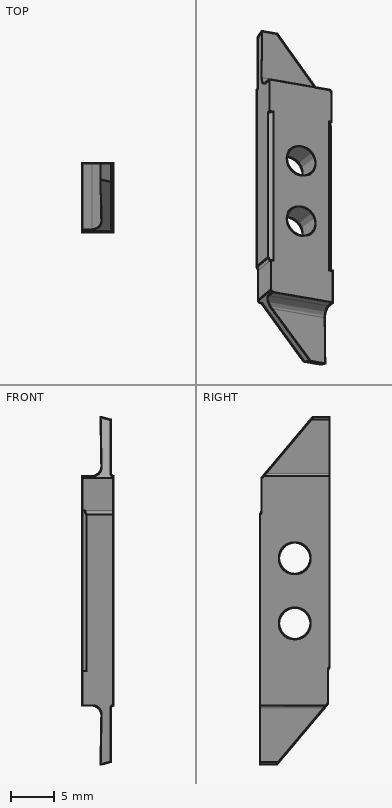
import cadquery as cq
import math

thickness = 3.6
width = 8.0
length = 40.0

shoulder_z = 13.2
blade_tip_x = 2.11
blade_draft = 1.0
blade_back_x = 3.3
tip_relief_angle = 15.0
root_fillet = 1.05

tip_width = 1.9
flank_end_z = 12.95

side_step = 0.17
side_step_radius = 0.7
edge_chamfer = 0.5
seat_half_length = 9.25

hole_diameter = 3.6
hole_spacing = 7.5

half_length = length / 2
half_width = width / 2
left_x = -thickness / 2
right_x = thickness / 2


def half_turn(shape):
    """Turn a shape by 180 degrees about the X axis."""
    return shape.rotate((0, 0, 0), (1, 0, 0), 180)


def thickness_profile():
    """Upper half of the XZ section, extruded over the full width."""
    tip_x = left_x + blade_tip_x
    back_x = left_x + blade_back_x
    draft = math.radians(blade_draft)
    root_x = tip_x + (half_length - shoulder_z) * math.tan(draft)
    tip_drop = (back_x - tip_x) * math.tan(math.radians(tip_relief_angle))

    face_angle = math.pi / 2 - draft
    tangent_length = root_fillet / math.tan(face_angle / 2)
    fillet_start_x = root_x - tangent_length
    fillet_center = (fillet_start_x, shoulder_z + root_fillet)
    fillet_end = (
        root_x - tangent_length * math.sin(draft),
        shoulder_z + tangent_length * math.cos(draft),
    )
    mid_angle = (math.pi - face_angle) / 2
    fillet_mid = (
        fillet_center[0] + root_fillet * math.sin(mid_angle),
        fillet_center[1] - root_fillet * math.cos(mid_angle),
    )

    back_radius = right_x - back_x
    back_mid_offset = back_radius * math.sin(math.pi / 4)
    back_fillet_mid = (
        right_x - back_mid_offset,
        shoulder_z + back_radius - back_mid_offset,
    )
    return (
        cq.Workplane("XZ")
        .moveTo(left_x, 0)
        .lineTo(left_x, shoulder_z)
        .lineTo(fillet_start_x, shoulder_z)
        .threePointArc(fillet_mid, fillet_end)
        .lineTo(tip_x, half_length)
        .lineTo(back_x, half_length - tip_drop)
        .lineTo(back_x, shoulder_z + back_radius)
        .threePointArc(back_fillet_mid, (right_x, shoulder_z))
        .lineTo(right_x, 0)
        .close()
        .extrude(half_width, both=True)
    )


def side_outline():
    """YZ outline with the slanted flanks and stepped sides, extruded through the thickness."""
    recess_y = side_step - half_width

    sweep = math.acos(1 - side_step / side_step_radius)

    def step_point(angle):
        return (
            recess_y - side_step_radius * (1 - math.cos(angle)),
            seat_half_length - side_step_radius * math.sin(angle),
        )

    def opposite(point):
        return (-point[0], -point[1])

    step_outer = step_point(sweep)
    step_middle = step_point(sweep / 2)
    step_inner = step_point(0)
    flank_end = (recess_y, flank_end_z)
    flank_tip = (half_width - tip_width, half_length)
    tip_corner = (half_width, half_length)
    return (
        cq.Workplane("YZ")
        .moveTo(*step_outer)
        .threePointArc(step_middle, step_inner)
        .lineTo(*flank_end)
        .lineTo(*flank_tip)
        .lineTo(*tip_corner)
        .lineTo(*opposite(step_outer))
        .threePointArc(opposite(step_middle), opposite(step_inner))
        .lineTo(*opposite(flank_end))
        .lineTo(*opposite(flank_tip))
        .lineTo(*opposite(tip_corner))
        .close()
        .extrude(thickness / 2, both=True)
    )


def edge_chamfer_cut():
    """Triangular prism that bevels the long -X, -Y edge between the side steps."""
    return (
        cq.Workplane("XY")
        .polyline([
            (left_x, -half_width),
            (left_x + edge_chamfer, -half_width),
            (left_x, edge_chamfer - half_width),
        ])
        .close()
        .extrude(seat_half_length, both=True)
    )


def mounting_holes():
    """Two through holes along X, one on each side of the middle."""
    return (
        cq.Workplane("YZ")
        .pushPoints([(0, -hole_spacing / 2), (0, hole_spacing / 2)])
        .circle(hole_diameter / 2)
        .extrude(thickness, both=True)
    )


upper_half = thickness_profile()
body = upper_half.union(half_turn(upper_half)).intersect(side_outline())

bevel = edge_chamfer_cut()
result = body.cut(bevel).cut(half_turn(bevel)).cut(mounting_holes()).clean()